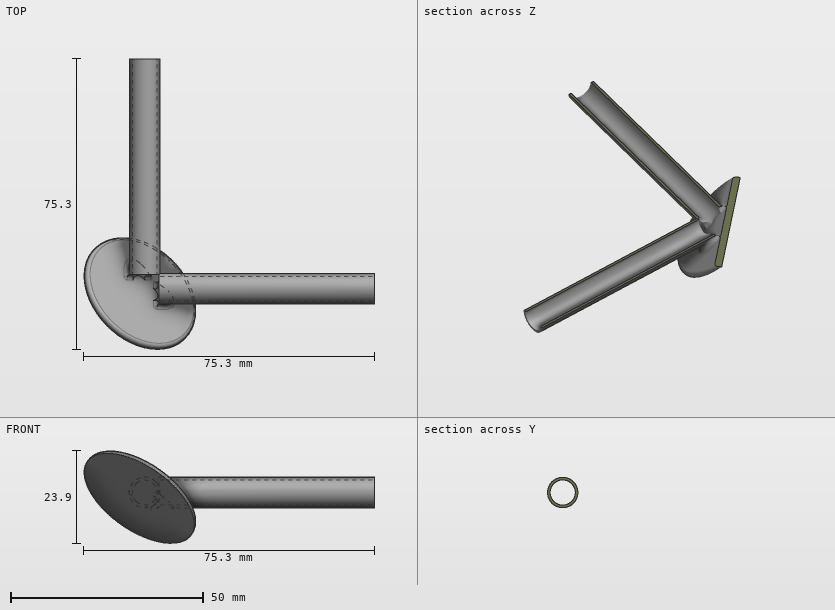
import cadquery as cq
import math

plate_diameter = 33.0
plate_thickness = 1.4
rim_radius = 1.0
half_root = math.sqrt(0.5)
plate_normal = cq.Vector(0.5, 0.5, half_root)
level_direction = cq.Vector(half_root, -half_root, 0)

tube_outer_diameter = 8.0
tube_bore_diameter = 6.4
axis_offset = 1.4
axis_height = 1.5
tube_end = 61.05
tube_start = 5.1
weld_radius = 1.0
bore_lead = 3.8
position_tolerance = 0.001


plate_plane = cq.Plane((0, 0, 0), level_direction, plate_normal)
plate_top_plane = cq.Plane(plate_normal * plate_thickness, level_direction, plate_normal)


def base_plate():
    disc = cq.Workplane(plate_plane).circle(plate_diameter / 2).extrude(plate_thickness)
    top_rim = cq.selectors.DirectionMinMaxSelector(plate_normal, True)
    return disc.edges(top_rim).fillet(rim_radius)


def space_above(plane):
    size = 4 * tube_end
    return cq.Workplane(plane).rect(size, size).extrude(size)


def rod(start, direction, diameter, first, last):
    """Round bar along direction, spanning the distances first to last from start."""
    plane = cq.Plane(start, (0, 0, 1), direction)
    return cq.Workplane(plane).workplane(offset=first).circle(diameter / 2).extrude(last - first)


def is_weld_edge(edge):
    """True where a tube meets the flat plate top; the longer edge is the plate rim."""
    heights = [edge.positionAt(place).dot(plate_normal) for place in (0, 0.25, 0.5, 0.75)]
    on_top = all(abs(height - plate_thickness) < position_tolerance for height in heights)
    return on_top and edge.Length() < plate_diameter


def welded_rod(start, direction):
    """Plate with one solid tube blank, filleted where they meet."""
    blank = rod(start, direction, tube_outer_diameter, tube_start, tube_end)
    joined = base_plate().union(blank.intersect(space_above(plate_plane)))
    weld_edges = [edge for edge in joined.edges().vals() if is_weld_edge(edge)]
    return cq.Workplane(joined.val().fillet(weld_radius, weld_edges))


def bore(start, direction):
    """Tube bore, stopping at the flat top of the plate."""
    cylinder = rod(start, direction, tube_bore_diameter, tube_start - bore_lead, tube_end)
    return cylinder.intersect(space_above(plate_top_plane))


tube_axes = [
    ((0, axis_offset, axis_height), (1, 0, 0)),
    ((axis_offset, 0, axis_height), (0, 1, 0)),
]

result = base_plate()
for axis_start, axis_direction in tube_axes:
    result = result.union(welded_rod(axis_start, axis_direction))
for axis_start, axis_direction in tube_axes:
    result = result.cut(bore(axis_start, axis_direction))